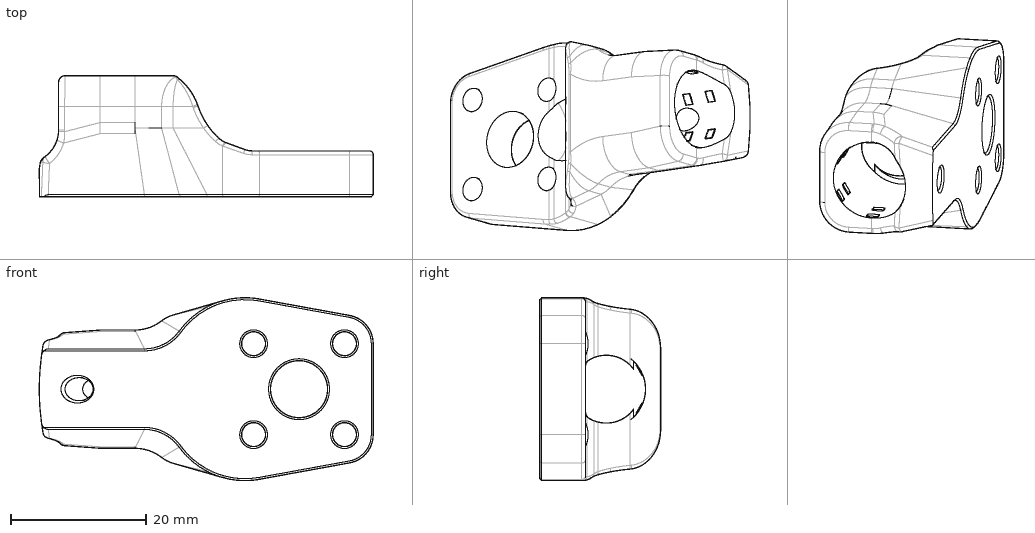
import cadquery as cq
import math


TOTAL_HEIGHT = 17.91
PLATE_THICKNESS = 6.8

PILOT_RADIUS = 4.2
BOLT_CIRCLE_RADIUS = 9.5
BOLT_RADIUS = 1.75
HOLE_CHAMFER = 0.3
BOLT_OFFSET = BOLT_CIRCLE_RADIUS * math.sqrt(0.5)

CORNER_RADIUS = 4.26
SHOULDER_RADIUS = 12.0
SHOULDER_X = -8.0
HALF_WIDTH = 13.53
SHOULDER_Z = HALF_WIDTH - SHOULDER_RADIUS
FLARE_SPLIT_X = -13.6

ARM_END_RADIUS = 38.4
ARM_BASE_HALF_WIDTH = 5.95
ARM_HALF_WIDTH = 8.75
ARM_TIP_HALF_WIDTH = 8.3
ARM_BASE_END_X = -22.85
ARM_DRAFT = math.radians(15.9)
TAPER_START_X = -29.4
RIDGE_RADIUS = 6.0
FLARE_RADIUS = 6.4
FLARE_CREST_RADIUS = 5.0
FLARE_STEEP_ANGLE = math.radians(38)
FLARE_LINE_ANGLE = math.radians(16)

HUMP_EDGE_RADIUS = 4.55
HUMP_FRONT_X = -35.55
TAIL_TOP_X = -18.3
TAIL_STEEP = (-14.9, TOTAL_HEIGHT - HUMP_EDGE_RADIUS)
TAIL_SAG = (-13.35, 10.35)
TAIL_FOOT = (SHOULDER_X - SHOULDER_RADIUS * math.sin(FLARE_LINE_ANGLE), 8.2)
TAIL_END_X = -7.5
TAIL_BLEND_RADIUS = 3.0

BORE_Y = 9.85
BORE_RADIUS = 5.78
BORE_LIP_RADIUS = 5.0
BORE_LIP_X = -15.1
BORE_END_X = -9.0
FRONT_SCALLOP_RADIUS = 4.85

PAD_COUNT = 6
PAD_FIRST_ANGLE = 30
PAD_WIDTH = 1.7
PAD_LENGTH = 1.2
PAD_HEIGHT = 0.2
PAD_EMBED = 0.5
PAD_CENTERS_X = (-34.6, -30.6)

SCREW_X = -32.75
SCREW_RADIUS = 1.7
SCREW_CHAMFER = 0.35
SCREW_TILT = 35

BASE_CHAMFER = 0.3
BACK_FILLET = 0.6
FRONT_FILLET = 1.0

FAR = 60.0
TOLERANCE = 0.05


def ridge_height(half_width):
    """Depth at which the drafted arm side reaches the given half width."""
    return BASE_CHAMFER + (half_width - ARM_BASE_HALF_WIDTH) / math.tan(ARM_DRAFT)


RIDGE_Y = ridge_height(ARM_HALF_WIDTH)


def on_circle(center, radius, angle):
    return (center[0] + radius * math.cos(angle), center[1] + radius * math.sin(angle))


SHOULDER_CENTER = (SHOULDER_X, SHOULDER_Z)
CORNER_CENTER = (BOLT_OFFSET, BOLT_OFFSET)


def plate_half_edges(inset=0):
    """Edges from the shoulder arc's flare end round the corner, as (start, middle or None, end)."""
    shoulder = SHOULDER_RADIUS - inset
    corner = CORNER_RADIUS - inset
    dx = CORNER_CENTER[0] - SHOULDER_CENTER[0]
    dz = CORNER_CENTER[1] - SHOULDER_CENTER[1]
    spread = math.acos((shoulder - corner) / math.hypot(dx, dz))
    normal = math.atan2(dz, dx) + spread
    flare_normal = math.pi / 2 + FLARE_LINE_ANGLE
    flare_join = on_circle(SHOULDER_CENTER, shoulder, flare_normal)
    shoulder_mid = on_circle(SHOULDER_CENTER, shoulder, (flare_normal + normal) / 2)
    shoulder_end = on_circle(SHOULDER_CENTER, shoulder, normal)
    corner_start = on_circle(CORNER_CENTER, corner, normal)
    corner_mid = on_circle(CORNER_CENTER, corner, normal / 2)
    corner_end = on_circle(CORNER_CENTER, corner, 0)
    return [
        (flare_join, shoulder_mid, shoulder_end),
        (shoulder_end, None, corner_start),
        (corner_start, corner_mid, corner_end),
    ]


def base_half_edges(inset=0):
    """Half outline at the base face: straight arm edge, concave arc, shoulder arc."""
    shoulder = SHOULDER_RADIUS - inset
    arm_z = ARM_BASE_HALF_WIDTH - inset
    plate = plate_half_edges(inset)
    flare_join = plate[0][0]
    arm_start = (-ARM_END_RADIUS, arm_z)
    run = SHOULDER_X - ARM_BASE_END_X
    rise = arm_z - SHOULDER_Z
    radius = (run ** 2 + rise ** 2 - shoulder ** 2) / (2 * (shoulder - rise))
    arm_end = (ARM_BASE_END_X, arm_z)
    center = (ARM_BASE_END_X, arm_z + radius)
    turn = math.atan2(SHOULDER_Z - center[1], run)
    concave_mid = on_circle(center, radius, (turn - math.pi / 2) / 2)
    concave_end = on_circle(center, radius, turn)
    start_angle = turn + math.pi
    split_angle = math.acos((FLARE_SPLIT_X - SHOULDER_X) / shoulder)
    join_angle = math.pi / 2 + FLARE_LINE_ANGLE
    split = on_circle(SHOULDER_CENTER, shoulder, split_angle)
    first_mid = on_circle(SHOULDER_CENTER, shoulder, (start_angle + split_angle) / 2)
    second_mid = on_circle(SHOULDER_CENTER, shoulder, (split_angle + join_angle) / 2)
    return [
        (arm_start, None, arm_end),
        (arm_end, concave_mid, concave_end),
        (concave_end, first_mid, split),
        (split, second_mid, flare_join),
    ] + plate


def upper_half_edges():
    """Half outline above the ridge: arm side, concave arc, crest arc, sloped flare line."""
    plate = plate_half_edges()
    flare_join = plate[0][0]
    steep = FLARE_STEEP_ANGLE
    gentle = FLARE_LINE_ANGLE
    concave_dx = FLARE_RADIUS * math.sin(steep)
    concave_dz = FLARE_RADIUS * (1 - math.cos(steep))
    crest_dx = FLARE_CREST_RADIUS * (math.sin(steep) - math.sin(gentle))
    crest_dz = FLARE_CREST_RADIUS * (math.cos(gentle) - math.cos(steep))
    line_z = ARM_HALF_WIDTH + concave_dz + crest_dz
    line_x = flare_join[0] - (flare_join[1] - line_z) / math.tan(gentle)
    line_start = (line_x, line_z)
    concave_end = (line_x - crest_dx, line_z - crest_dz)
    arm_end = (concave_end[0] - concave_dx, ARM_HALF_WIDTH)
    concave_center = (arm_end[0], ARM_HALF_WIDTH + FLARE_RADIUS)
    concave_mid = on_circle(concave_center, FLARE_RADIUS, steep / 2 - math.pi / 2)
    crest_center = on_circle(line_start, FLARE_CREST_RADIUS, gentle - math.pi / 2)
    crest_mid = on_circle(crest_center, FLARE_CREST_RADIUS, (steep + gentle) / 2 + math.pi / 2)
    return [
        ((-ARM_END_RADIUS, ARM_HALF_WIDTH), None, arm_end),
        (arm_end, concave_mid, concave_end),
        (concave_end, crest_mid, line_start),
        (line_start, None, flare_join),
    ] + plate


ARM_END_X = upper_half_edges()[0][2][0]


def symmetric_wire(half_edges, place):
    """Closed wire from the edges of its +Z half and their mirror images.

    place(p, side) puts the 2D point p into space on the side +1 or -1 of the middle plane.
    """
    def edge(start, middle, end, side):
        if middle is None:
            return cq.Edge.makeLine(place(start, side), place(end, side))
        return cq.Edge.makeThreePointArc(place(start, side), place(middle, side), place(end, side))

    first = half_edges[0][0]
    last = half_edges[-1][2]
    edges = [edge(start, middle, end, 1) for start, middle, end in half_edges]
    edges.append(cq.Edge.makeLine(place(last, 1), place(last, -1)))
    edges += [edge(end, middle, start, -1) for start, middle, end in reversed(half_edges)]
    edges.append(cq.Edge.makeLine(place(first, -1), place(first, 1)))
    return cq.Wire.assembleEdges(edges)


def outline_wire(half_edges, y):
    """Outline of (x, z) points at depth y."""
    return symmetric_wire(half_edges, lambda p, side: cq.Vector(p[0], y, side * p[1]))


def arm_section_wire(x, half_width):
    """Cross-section of the arm: chamfered base, drafted sides, soft ridges, rounded top."""
    ridge_tangent = RIDGE_RADIUS * math.tan(ARM_DRAFT / 2)
    ridge_y = ridge_height(half_width)
    draft_end = (
        ridge_y - ridge_tangent * math.cos(ARM_DRAFT),
        half_width - ridge_tangent * math.sin(ARM_DRAFT),
    )
    ridge_center = (ridge_y + ridge_tangent, half_width - RIDGE_RADIUS)
    ridge_mid = on_circle(ridge_center, RIDGE_RADIUS, (math.pi + ARM_DRAFT) / 2)
    ridge_end = (ridge_center[0], half_width)
    top_center = (TOTAL_HEIGHT - HUMP_EDGE_RADIUS, half_width - HUMP_EDGE_RADIUS)
    side_end = (top_center[0], half_width)
    top_mid = on_circle(top_center, HUMP_EDGE_RADIUS, math.pi / 4)
    top_end = (TOTAL_HEIGHT, top_center[1])
    base_start = (0, ARM_BASE_HALF_WIDTH - BASE_CHAMFER)
    draft_start = (BASE_CHAMFER, ARM_BASE_HALF_WIDTH)
    half_edges = [
        (base_start, None, draft_start),
        (draft_start, None, draft_end),
        (draft_end, ridge_mid, ridge_end),
        (ridge_end, None, side_end),
        (side_end, top_mid, top_end),
    ]
    return symmetric_wire(half_edges, lambda p, side: cq.Vector(x, p[0], side * p[1]))


def side_profile():
    """Profile across Z: scalloped front, hump, sweeping tail and plate."""
    scallop_x = HUMP_FRONT_X - FRONT_SCALLOP_RADIUS
    scallop_center = (scallop_x, BORE_Y)
    meet_angle = -math.acos((-ARM_END_RADIUS - scallop_x) / FRONT_SCALLOP_RADIUS)
    profile = (
        cq.Workplane("XY", origin=(0, 0, -FAR / 2))
        .moveTo(-ARM_END_RADIUS, 0)
        .lineTo(FAR, 0)
        .lineTo(FAR, PLATE_THICKNESS)
        .lineTo(TAIL_END_X, PLATE_THICKNESS)
        .lineTo(*TAIL_FOOT)
        .threePointArc(TAIL_SAG, TAIL_STEEP)
        .tangentArcPoint((TAIL_TOP_X, TOTAL_HEIGHT), relative=False)
        .lineTo(HUMP_FRONT_X, TOTAL_HEIGHT)
        .lineTo(HUMP_FRONT_X, BORE_Y)
        .threePointArc(
            on_circle(scallop_center, FRONT_SCALLOP_RADIUS, meet_angle / 2),
            on_circle(scallop_center, FRONT_SCALLOP_RADIUS, meet_angle),
        )
        .close()
        .extrude(FAR)
    )
    for bend in ((TAIL_END_X, PLATE_THICKNESS, 0), (*TAIL_FOOT, 0)):
        nearest = cq.selectors.NearestToPointSelector(bend)
        profile = profile.edges(nearest).fillet(TAIL_BLEND_RADIUS)
    return profile


def arm_end_envelope():
    """Cylinder about the pilot hole axis that rounds the arm end."""
    return cq.Workplane("XZ").circle(ARM_END_RADIUS).extrude(-FAR)


def slab(x_start, x_end):
    """Block that keeps everything between two X positions."""
    size = (x_end - x_start, FAR, FAR)
    return cq.Workplane("XY").box(*size).translate(((x_start + x_end) / 2, 0, 0))


def is_front_edge(edge):
    """Rim of the hump front and of the scallop and sides of the arm end, without the base."""
    box = edge.BoundingBox()
    within_front = box.xmax < HUMP_FRONT_X + TOLERANCE and box.ymin > BASE_CHAMFER - TOLERANCE
    spans_both_sides = box.zmin < 0 < box.zmax
    is_smooth_join = spans_both_sides and abs(edge.Center().y - BORE_Y) < TOLERANCE
    return within_front and not is_smooth_join


def make_arm():
    """Prismatic arm with a tapering tip and a rounded front rim."""
    taper = (ARM_HALF_WIDTH - ARM_TIP_HALF_WIDTH) / (TAPER_START_X - HUMP_FRONT_X)
    tip_half_width = ARM_HALF_WIDTH - taper * (TAPER_START_X + FAR)
    full_section = arm_section_wire(TAPER_START_X, ARM_HALF_WIDTH)
    tip_section = arm_section_wire(-FAR, tip_half_width)
    tip = cq.Workplane(cq.Solid.makeLoft([tip_section, full_section], True))
    tip = tip.intersect(side_profile()).intersect(arm_end_envelope())
    tip = tip.edges().filter(is_front_edge).fillet(FRONT_FILLET)
    prism_length = cq.Vector(ARM_END_X - TAPER_START_X, 0, 0)
    return tip.union(cq.Workplane(cq.Solid.extrudeLinear(full_section, [], prism_length)))


def is_back_rim_edge(edge):
    """Rim of the plate back and of the tail, up to the top of the hump."""
    box = edge.BoundingBox()
    above_plate = box.ymin > PLATE_THICKNESS - TOLERANCE
    behind_crest = box.xmin > TAIL_TOP_X + TOLERANCE
    crosses_tail = box.zmin < 0 < box.zmax and box.xmax < BOLT_OFFSET
    is_flare_seam = box.ymax - box.ymin < TOLERANCE and box.xmax < TAIL_FOOT[0]
    is_upright = box.xmax - box.xmin < TOLERANCE and box.ymax - box.ymin > TOLERANCE
    return above_plate and behind_crest and not (crosses_tail or is_flare_seam or is_upright)


def make_flare_and_plate():
    """Twisted flare under the hump, running into the flat plate."""
    flare = slab(ARM_END_X, TAIL_FOOT[0])
    base_wire = outline_wire(base_half_edges(), BASE_CHAMFER)
    ridge_wire = outline_wire(upper_half_edges(), RIDGE_Y)
    plate_wire = outline_wire(upper_half_edges(), BASE_CHAMFER)
    chamfer_wire = outline_wire(base_half_edges(BASE_CHAMFER), 0)

    lower = cq.Workplane(cq.Solid.makeLoft([base_wire, ridge_wire], True)).intersect(flare)
    hump_height = cq.Vector(0, TOTAL_HEIGHT - RIDGE_Y, 0)
    hump = cq.Workplane(cq.Solid.extrudeLinear(ridge_wire, [], hump_height))
    hump = hump.faces(">Y").edges("not(<X or >X)").fillet(HUMP_EDGE_RADIUS).intersect(flare)
    plate_height = cq.Vector(0, RIDGE_Y - BASE_CHAMFER, 0)
    plate = cq.Workplane(cq.Solid.extrudeLinear(plate_wire, [], plate_height))
    plate = plate.intersect(slab(TAIL_FOOT[0], FAR))
    chamfered_base = cq.Workplane(cq.Solid.makeLoft([chamfer_wire, base_wire], True))

    profile = side_profile()
    body = lower.intersect(profile).union(hump.intersect(profile)).union(plate.intersect(profile))
    body = body.edges().filter(is_back_rim_edge).fillet(BACK_FILLET)
    return body.union(chamfered_base.intersect(slab(ARM_END_X, FAR)))


def countersunk_hole(radius, depth):
    """Hole cutter along +Y from the base face with a chamfered mouth."""
    cutter = cq.Workplane("XZ").circle(radius).extrude(-depth)
    mouth = cq.Solid.makeCone(
        radius + HOLE_CHAMFER, radius, HOLE_CHAMFER, cq.Vector(0, 0, 0), cq.Vector(0, 1, 0)
    )
    return cutter.union(cq.Workplane(mouth))


def plate_holes():
    cutter = countersunk_hole(PILOT_RADIUS, FAR)
    for sx in (-1, 1):
        for sz in (-1, 1):
            bolt = countersunk_hole(BOLT_RADIUS, FAR)
            cutter = cutter.union(bolt.translate((sx * BOLT_OFFSET, 0, sz * BOLT_OFFSET)))
    return cutter


def bore_section(radius, end_x):
    plane = cq.Workplane("YZ", origin=(-FAR, BORE_Y, 0))
    return plane.circle(radius).extrude(end_x + FAR)


def tube_bore():
    """Tube seat, narrower bore behind its shoulder, and a round end sunk in the plate."""
    seat = bore_section(BORE_RADIUS, BORE_LIP_X)
    run_out = bore_section(BORE_LIP_RADIUS, BORE_END_X)
    round_end = cq.Workplane("XY", origin=(BORE_END_X, BORE_Y, 0)).sphere(BORE_LIP_RADIUS)
    return seat.union(run_out).union(round_end)


def grip_pads():
    """Small raised pads on the bore wall, in two rings."""
    pads = cq.Workplane("XY")
    radial_center = BORE_RADIUS - PAD_HEIGHT + (PAD_HEIGHT + PAD_EMBED) / 2
    for center_x in PAD_CENTERS_X:
        for i in range(PAD_COUNT):
            pad = cq.Workplane("XY").box(PAD_LENGTH, PAD_HEIGHT + PAD_EMBED, PAD_WIDTH)
            pad = pad.translate((0, radial_center, 0))
            pad = pad.rotate((0, 0, 0), (1, 0, 0), PAD_FIRST_ANGLE + i * 360 / PAD_COUNT)
            pads = pads.add(pad.translate((center_x, BORE_Y, 0)))
    return pads.combine()


def screw_hole():
    """Countersunk hole slanting from the base face into the bore."""
    tilt = math.radians(SCREW_TILT)
    length = BORE_Y / math.cos(tilt)
    shaft = cq.Workplane("XZ", origin=(0, -length, 0)).circle(SCREW_RADIUS).extrude(-2 * length)
    shaft = shaft.rotate((0, 0, 0), (0, 0, 1), -SCREW_TILT)
    half_length = SCREW_RADIUS / math.cos(tilt)
    mouth = (
        cq.Workplane("XZ")
        .ellipse(half_length + SCREW_CHAMFER, SCREW_RADIUS + SCREW_CHAMFER)
        .workplane(offset=-SCREW_CHAMFER)
        .center(SCREW_CHAMFER * math.tan(tilt), 0)
        .ellipse(half_length, SCREW_RADIUS)
        .loft()
    )
    return shaft.union(mouth).translate((SCREW_X, 0, 0))


body = make_arm().union(make_flare_and_plate())
result = body.cut(plate_holes()).cut(tube_bore()).cut(screw_hole()).union(grip_pads())